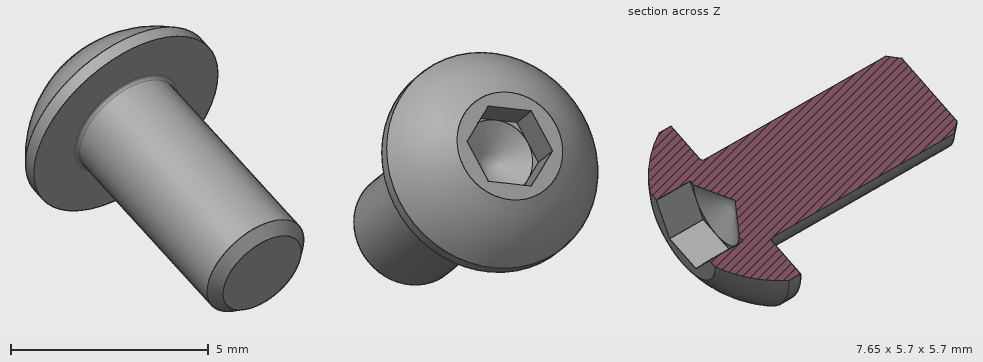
import cadquery as cq
import math

total_length = 7.65
head_diameter = 5.7
head_height = 1.65
rim_thickness = 0.37
face_diameter = head_diameter / 2
shank_diameter = 3.0
tip_chamfer = 0.29
neck_fillet = 0.09
hex_across_flats = 2.0
hex_depth = 1.04
drill_point_angle = 120.0

head_radius = head_diameter / 2
face_radius = face_diameter / 2
shank_radius = shank_diameter / 2
dome_height = head_height - rim_thickness

dome_centre = (dome_height**2 + head_radius**2 - face_radius**2) / (2 * dome_height)
dome_radius = math.hypot(dome_centre, face_radius)
dome_mid_radius = (face_radius + head_radius) / 2
dome_mid_x = dome_centre - math.sqrt(dome_radius**2 - dome_mid_radius**2)


def screw_body():
    """Head and shank, revolved about the X axis."""
    neck_offset = neck_fillet * (1 - math.sqrt(0.5))
    profile = (
        cq.Workplane("XY")
        .lineTo(0, face_radius)
        .threePointArc((dome_mid_x, dome_mid_radius), (dome_height, head_radius))
        .lineTo(head_height, head_radius)
        .lineTo(head_height, shank_radius + neck_fillet)
        .threePointArc(
            (head_height + neck_offset, shank_radius + neck_offset),
            (head_height + neck_fillet, shank_radius),
        )
        .lineTo(total_length - tip_chamfer, shank_radius)
        .lineTo(total_length, shank_radius - tip_chamfer)
        .lineTo(total_length, 0)
        .close()
    )
    return profile.revolve(360, (0, 0, 0), (1, 0, 0))


def hex_socket():
    """Hexagonal recess with corners on the Y axis and a conical bottom."""
    across_corners = hex_across_flats / math.cos(math.radians(30))
    hexagon = cq.Workplane("YZ").polygon(6, across_corners).extrude(hex_depth)
    cone_radius = hex_across_flats / 2
    cone_height = cone_radius / math.tan(math.radians(drill_point_angle / 2))
    cone = (
        cq.Workplane("XY")
        .moveTo(hex_depth, 0)
        .lineTo(hex_depth, cone_radius)
        .lineTo(hex_depth + cone_height, 0)
        .close()
        .revolve(360, (0, 0, 0), (1, 0, 0))
    )
    return hexagon.union(cone)


result = screw_body().cut(hex_socket())